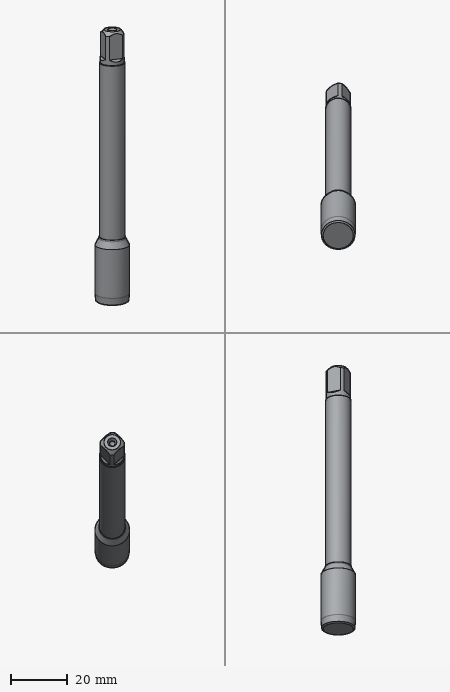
import cadquery as cq
import math

total_length = 100.0

shaft_diameter = 9.0
drive_diameter = 8.6
drive_across_flats = 7.0
flat_end_z = 90.0
shaft_top_z = 88.0
shaft_edge_chamfer = (shaft_diameter - drive_diameter) / 2
drive_tip_diameter = 5.8

countersink_diameter = 3.2
countersink_angle = 60.0
centre_hole_diameter = 2.0
centre_hole_depth = 1.6
drill_point_angle = 118.0

sleeve_diameter = 12.2
sleeve_mouth_diameter = 9.3
sleeve_lip_diameter = 9.6
sleeve_lip_height = 0.5
sleeve_top_z = 23.8
sleeve_shoulder_z = 20.8
nose_height = 2.9
nose_diameter = 11.8
nose_chamfer_height = 0.4
nose_chamfer_width = 0.6
bore_floor_z = nose_height


def revolve(profile):
    """Turn a half profile, drawn as radius against Z, about the Z axis."""
    return profile.close().revolve(360, (0, 0, 0), (0, 1, 0))


def make_drive_envelope():
    """Space allowed by the four drive flats and the 45 degree shoulders below them."""
    half_flats = drive_across_flats / 2
    shaft_radius = shaft_diameter / 2
    shoulder_z = flat_end_z - (shaft_radius - half_flats)
    outline = [
        (-half_flats, total_length),
        (half_flats, total_length),
        (half_flats, flat_end_z),
        (shaft_radius, shoulder_z),
        (shaft_radius, bore_floor_z),
        (-shaft_radius, bore_floor_z),
        (-shaft_radius, shoulder_z),
        (-half_flats, flat_end_z),
    ]
    across_x = cq.Workplane("XZ").polyline(outline).close().extrude(shaft_radius, both=True)
    across_y = across_x.rotate((0, 0, 0), (0, 0, 1), 90)
    return across_x.intersect(across_y)


def make_centre_hole():
    """Countersunk centre hole with a conical drill point."""
    hole_radius = centre_hole_diameter / 2
    sink_radius = countersink_diameter / 2
    sink_depth = (sink_radius - hole_radius) / math.tan(math.radians(countersink_angle / 2))
    point_depth = hole_radius / math.tan(math.radians(drill_point_angle / 2))
    hole_end_z = total_length - centre_hole_depth
    return revolve(
        cq.Workplane("XZ")
        .moveTo(0, total_length)
        .lineTo(sink_radius, total_length)
        .lineTo(hole_radius, total_length - sink_depth)
        .lineTo(hole_radius, hole_end_z)
        .lineTo(0, hole_end_z - point_depth)
    )


def make_shaft():
    """Turned shaft with a square drive and a centre hole at the top."""
    shaft_radius = shaft_diameter / 2
    drive_radius = drive_diameter / 2
    tip_radius = drive_tip_diameter / 2
    tip_chamfer = drive_radius - tip_radius
    turned = revolve(
        cq.Workplane("XZ")
        .moveTo(0, bore_floor_z)
        .lineTo(shaft_radius, bore_floor_z)
        .lineTo(shaft_radius, shaft_top_z - shaft_edge_chamfer)
        .lineTo(drive_radius, shaft_top_z)
        .lineTo(drive_radius, total_length - tip_chamfer)
        .lineTo(tip_radius, total_length)
        .lineTo(0, total_length)
    )
    return turned.intersect(make_drive_envelope()).cut(make_centre_hole())


def make_sleeve():
    """Closed-end sleeve with a conical shoulder, a tapered nose and a blind bore."""
    outer_radius = sleeve_diameter / 2
    mouth_radius = sleeve_mouth_diameter / 2
    lip_radius = sleeve_lip_diameter / 2
    nose_radius = nose_diameter / 2
    bore_radius = shaft_diameter / 2
    return revolve(
        cq.Workplane("XZ")
        .lineTo(nose_radius - nose_chamfer_width, 0)
        .lineTo(nose_radius, nose_chamfer_height)
        .lineTo(outer_radius, nose_height)
        .lineTo(outer_radius, sleeve_shoulder_z)
        .lineTo(lip_radius, sleeve_top_z - sleeve_lip_height)
        .lineTo(mouth_radius, sleeve_top_z)
        .lineTo(bore_radius, sleeve_top_z)
        .lineTo(bore_radius, bore_floor_z)
        .lineTo(0, bore_floor_z)
    )


shaft = make_shaft()
sleeve = make_sleeve()

result = cq.Compound.makeCompound([shaft.val(), sleeve.val()])